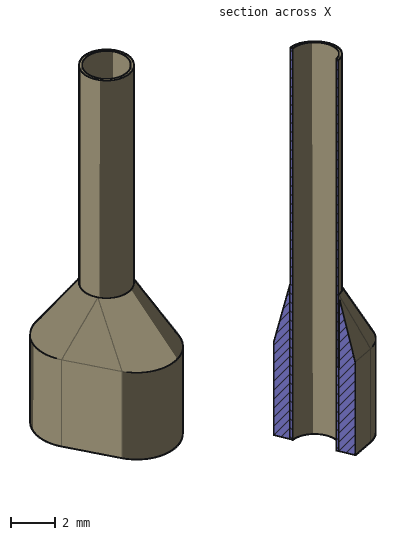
import cadquery as cq

total_height = 20
collar_length = 7.1
collar_width = 4.2
collar_height = 4.8
shoulder_top = 8

tube_diameter = 2.5
tube_radius = tube_diameter / 2
wall = 0.15
bore_radius = tube_radius - wall

end_radius = collar_width / 2
end_offset = collar_length / 2 - end_radius


def half_disc(side, offset, radius, height):
    """Closed half-circle outline, bulging toward +X (side=1) or -X (side=-1)."""
    return (
        cq.Workplane("XY", origin=(0, 0, height))
        .moveTo(side * offset, -radius)
        .threePointArc((side * (offset + radius), 0), (side * offset, radius))
        .close()
        .wire()
        .val()
    )


def taper_end(side):
    """Rounded part of the shoulder, from a collar end up to half of the tube."""
    lower = half_disc(side, end_offset, end_radius, collar_height)
    upper = half_disc(side, 0, tube_radius, shoulder_top)
    return cq.Solid.makeLoft([lower, upper], True)


def taper_wedge():
    """Flat-sided middle of the shoulder: a rectangle narrowing to a ridge."""
    front_right = (end_offset, -end_radius, collar_height)
    back_right = (end_offset, end_radius, collar_height)
    back_left = (-end_offset, end_radius, collar_height)
    front_left = (-end_offset, -end_radius, collar_height)
    ridge_front = (0, -tube_radius, shoulder_top)
    ridge_back = (0, tube_radius, shoulder_top)
    outlines = [
        (front_left, back_left, back_right, front_right),
        (front_left, front_right, ridge_front),
        (back_right, back_left, ridge_back),
        (front_right, back_right, ridge_back, ridge_front),
        (back_left, front_left, ridge_front, ridge_back),
    ]
    faces = []
    for outline in outlines:
        corners = [cq.Vector(*point) for point in outline]
        faces.append(cq.Face.makeFromWires(cq.Wire.makePolygon(corners, close=True)))
    return cq.Solid.makeSolid(cq.Shell.makeShell(faces))


def make_collar():
    """Oblong sleeve with a tapered shoulder, bored to receive the tube."""
    base = cq.Workplane("XY").slot2D(collar_length, collar_width).extrude(collar_height)
    shoulder = cq.Workplane(taper_wedge()).union(taper_end(1)).union(taper_end(-1))
    tube_seat = cq.Workplane("XY").circle(tube_radius).extrude(shoulder_top)
    return base.union(shoulder).cut(tube_seat)


def make_tube():
    """Thin-walled tube running the full height."""
    return cq.Workplane("XY").circle(tube_radius).circle(bore_radius).extrude(total_height)


collar = make_collar()
tube = make_tube()

result = cq.Compound.makeCompound([collar.solids().val(), tube.val()])